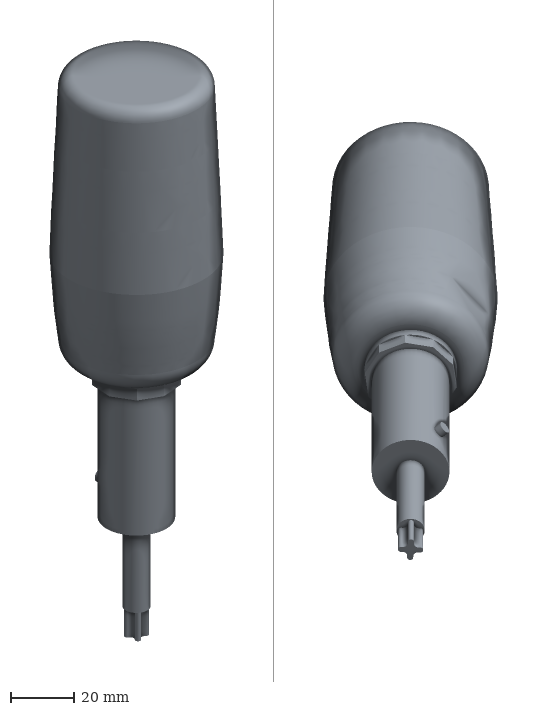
import cadquery as cq
import math

total_height = 203.0
tip_top = 10.5
barrel_bottom = 42.8
pin_height = 53.0
nut_bottom = 93.0
nut_top = 97.2
handle_bottom = 99.9
lower_seam = 107.8
belly_seam = 138.2
middle_seam = 160.2
upper_seam = 181.7
shoulder_seam = 198.7

handle_diameter = 55.0
belly_radius = handle_diameter / 2
end_radius = 24.8
upper_radius = 25.5
middle_radius = 26.5
top_face_radius = 39.8 / 2
band_bulge = 0.1
lower_bulge = 0.5
bottom_rounding = lower_seam - handle_bottom

barrel_diameter = 24.5
collar_diameter = 29.5
nut_sides = 10
pin_diameter = 4.0
pin_reach = collar_diameter / 2

shank_diameter = 9.0
lobe_width = 1.9
lobe_center_radius = 3.0
valley_radius = 3.0 / 2
first_lobe_angle = 45


def bulged_band(profile, start, end, bulge):
    """Add an arc from start to end that stands out from its chord by the bulge."""
    middle = ((start[0] + end[0]) / 2 + bulge, (start[1] + end[1]) / 2)
    return profile.threePointArc(middle, end)


def quarter_round_middle(corner_radius, corner_height, width, height):
    """Middle point of a convex quarter round whose widest point is at the corner radius."""
    inset = 1 - math.sqrt(0.5)
    return (corner_radius - inset * width, corner_height + (1 - inset) * height)


def make_handle():
    lower = (end_radius, lower_seam)
    belly = (belly_radius, belly_seam)
    middle = (middle_radius, middle_seam)
    upper = (upper_radius, upper_seam)
    shoulder = (end_radius, shoulder_seam)

    profile = cq.Workplane("XZ").moveTo(0, handle_bottom)
    profile = profile.lineTo(end_radius - bottom_rounding, handle_bottom)
    profile = profile.threePointArc(
        quarter_round_middle(end_radius, lower_seam, bottom_rounding, -bottom_rounding), lower
    )
    profile = bulged_band(profile, lower, belly, lower_bulge)
    profile = bulged_band(profile, belly, middle, band_bulge)
    profile = bulged_band(profile, middle, upper, band_bulge)
    profile = bulged_band(profile, upper, shoulder, band_bulge)
    shoulder_middle = quarter_round_middle(
        end_radius, shoulder_seam, end_radius - top_face_radius, total_height - shoulder_seam
    )
    profile = profile.threePointArc(shoulder_middle, (top_face_radius, total_height))
    profile = profile.lineTo(0, total_height).close()
    return profile.revolve(360, (0, 0), (0, 1))


def rod(diameter, bottom, top):
    return cq.Workplane("XY").workplane(offset=bottom).circle(diameter / 2).extrude(top - bottom)


def make_barrel():
    barrel = rod(barrel_diameter, barrel_bottom, nut_bottom)
    nut = (
        cq.Workplane("XY")
        .workplane(offset=nut_bottom)
        .polygon(nut_sides, collar_diameter)
        .extrude(nut_top - nut_bottom)
        .rotate((0, 0, 0), (0, 0, 1), 90)
    )
    collar = rod(collar_diameter, nut_top, handle_bottom)
    pin = cq.Workplane("YZ").center(0, pin_height).circle(pin_diameter / 2).extrude(-pin_reach)
    return barrel.union(nut).union(collar).union(pin)


def make_bit():
    shank = rod(shank_diameter, tip_top, barrel_bottom)

    bar_length = 2 * lobe_center_radius + lobe_width
    tip = cq.Workplane("XY")
    for angle in (first_lobe_angle, first_lobe_angle + 90):
        bar = cq.Workplane("XY").slot2D(bar_length, lobe_width, angle).extrude(tip_top)
        tip = tip.union(bar)
    inner_corner = cq.selectors.BoxSelector(
        (-lobe_width, -lobe_width, 0), (lobe_width, lobe_width, tip_top)
    )
    tip = tip.edges("|Z").edges(inner_corner).fillet(valley_radius)
    return shank.union(tip)


handle = make_handle()
barrel = make_barrel()
bit = make_bit()
result = cq.Compound.makeCompound([handle.val(), barrel.val(), bit.val()])